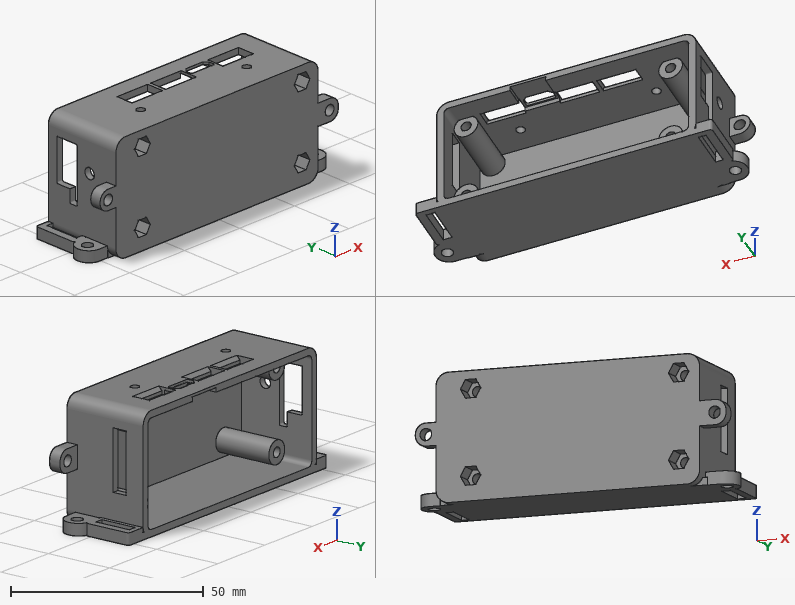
import cadquery as cq


left_x = -37.6
right_x = 36.0
depth = 25.0
height = 34.5
wall = 2.0
corner_radius = 3.55

board_y = 19.4
post_left_x = -27.9
post_low_z = 6.65
post_spacing_x = 58.0
post_spacing_z = 23.0
post_radius = 3.4
post_hole_radius = 1.4
nut_across_corners = 5.7
nut_depth = 5.0

screw_radius = 1.6
tab_thickness = 3.5
tab_z = 18.4
tab_end_x = 43.3
tab_corner_radius = 2.9
left_tab_width = 6.1
right_tab_width = 6.65
left_tab_hole_x = -40.4
right_tab_hole_x = 40.1

foot_height = 3.5
ear_end_x = 44.3
ear_y = 7.2
ear_width = 8.0
ear_length = 7.9
ear_corner_radius = 3.9
ear_hole_x = 40.85
loop_end_x = 42.1
loop_bar = 2.4
loop_front_y = 10.9
loop_corner_radius = 0.8
loop_slot_width = 2.5
loop_slot_front_y = 12.4
loop_slot_back_y = 23.3
plate_right_x = 36.95
plate_front_y = 3.0

port_centers_x = (-12.5, -0.3, 20.6)
port_width = 11.1
port_front_y = 15.0
port_bevel = 1.1
small_port_x = 10.1
small_port_width = 8.4
small_port_height = 3.2
small_port_bevel = 1.15
small_port_radius = 0.5
relief_front_y = 15.8
relief_width = 10.1
relief_skin = 0.8
light_holes_x = (-19.4, 19.1)
light_hole_y = 9.3
light_hole_radius = 1.2

slot_front_y = 14.35
slot_step_y = 16.9
slot_back_y = 21.8
slot_low_z = 11.1
slot_step_z = 15.2
slot_top_z = 28.6
slot_corner_radius = 0.4
right_window_front_y = 15.15
button_y = 9.75
button_z = 21.9
button_radius = 1.7


def box(x0, x1, y0, y1, z0, z1):
    """Axis-aligned box; each pair of limits may come in either order."""
    size = (abs(x1 - x0), abs(y1 - y0), abs(z1 - z0))
    corner = (min(x0, x1), min(y0, y1), min(z0, z1))
    return cq.Workplane("XY").box(*size, centered=False).translate(corner)


def rod_y(x, z, radius, length):
    """Cylinder along +Y starting at the closed face."""
    return cq.Workplane("XZ", origin=(x, 0, z)).circle(radius).extrude(-length)


def rod_z(x, y, radius, z0, z1):
    """Cylinder along Z from z0 to z1."""
    return cq.Workplane("XY", origin=(x, y, z0)).circle(radius).extrude(z1 - z0)


def side_wall_x(side):
    """Outer X of the left (-1) or right (1) end wall."""
    return left_x if side < 0 else right_x


def outer_face(side):
    """Selector of the face farthest from the case on one side."""
    return "<X" if side < 0 else ">X"


def make_block():
    block = box(left_x, right_x, 0, depth, 0, height)
    return block.edges("|Y").fillet(corner_radius)


def make_cavity():
    cavity = box(left_x + wall, right_x - wall, wall, depth, wall, height - wall)
    return cavity.edges("|Y").fillet(corner_radius - wall)


def make_tab(side, width, hole_x):
    """Round-ended screw tab growing out of the closed face."""
    half = width / 2
    tab = box(side_wall_x(side), side * tab_end_x, 0, tab_thickness, tab_z - half, tab_z + half)
    tab = tab.faces(outer_face(side)).edges("|Y").fillet(tab_corner_radius)
    return tab.cut(rod_y(hole_x, tab_z, screw_radius, tab_thickness))


def make_foot(side):
    """Screw ear with a strap loop behind it, outside one end wall."""
    half = ear_width / 2
    ear_root_x = side * (ear_end_x - ear_length)
    ear = box(ear_root_x, side * ear_end_x, ear_y - half, ear_y + half, 0, foot_height)
    ear = ear.faces(outer_face(side)).edges("|Z").fillet(ear_corner_radius)

    loop = box(side_wall_x(side), side * loop_end_x, loop_front_y, depth, 0, foot_height)
    loop = loop.faces(outer_face(side)).edges("|Z").fillet(loop_corner_radius)
    slot_end_x = loop_end_x - loop_bar
    slot = box(
        side * (slot_end_x - loop_slot_width), side * slot_end_x,
        loop_slot_front_y, loop_slot_back_y,
        0, foot_height,
    )
    hole = rod_z(side * ear_hole_x, ear_y, screw_radius, 0, foot_height)
    return ear.union(loop).cut(slot).cut(hole).cut(make_block())


def make_port(center_x):
    """Rectangular opening in the top wall with a sloped front lip."""
    profile = [
        (port_front_y, height - wall),
        (port_front_y, height - port_bevel),
        (port_front_y - port_bevel, height),
        (board_y, height),
        (board_y, height - wall),
    ]
    start_x = center_x - port_width / 2
    return cq.Workplane("YZ", origin=(start_x, 0, 0)).polyline(profile).close().extrude(port_width)


def make_small_port():
    """Connector opening with two bevelled and two rounded corners."""
    half = small_port_width / 2
    port = box(
        small_port_x - half, small_port_x + half,
        board_y - small_port_height, board_y,
        height - wall, height,
    )
    port = port.edges("|Z and >Y").chamfer(small_port_bevel)
    return port.edges("|Z and <Y").fillet(small_port_radius)


def make_small_port_relief():
    """Channel under the top wall that leaves a thin skin around the small port."""
    half = relief_width / 2
    return box(
        small_port_x - half, small_port_x + half,
        relief_front_y, depth,
        height - wall, height - relief_skin,
    )


def make_left_slot():
    """Stepped opening in the left wall: a wide window with a narrow tail below."""
    profile = [
        (slot_front_y, slot_low_z),
        (slot_front_y, slot_top_z),
        (slot_back_y, slot_top_z),
        (slot_back_y, slot_step_z),
        (slot_step_y, slot_step_z),
        (slot_step_y, slot_low_z),
    ]
    slot = cq.Workplane("YZ", origin=(left_x, 0, 0)).polyline(profile).close().extrude(wall)
    slot = slot.edges("|X and <Z").fillet(slot_corner_radius)
    slot = slot.faces("<Y").edges(">Z").fillet(slot_corner_radius)
    return slot.faces(">Y").edges("<Z").fillet(slot_corner_radius)


post_positions = [
    (post_left_x + column * post_spacing_x, post_low_z + row * post_spacing_z)
    for column in range(2)
    for row in range(2)
]

result = make_block().cut(make_cavity())
for x, z in post_positions:
    result = result.union(rod_y(x, z, post_radius, board_y))
result = result.union(make_tab(-1, left_tab_width, left_tab_hole_x))
result = result.union(make_tab(1, right_tab_width, right_tab_hole_x))
result = result.union(box(left_x, plate_right_x, plate_front_y, depth, 0, wall))
for side in (-1, 1):
    result = result.union(make_foot(side))

for x, z in post_positions:
    nut = cq.Workplane("XZ", origin=(x, 0, z)).polygon(6, nut_across_corners).extrude(-nut_depth)
    result = result.cut(nut).cut(rod_y(x, z, post_hole_radius, board_y))

for x in port_centers_x:
    result = result.cut(make_port(x))
result = result.cut(make_small_port()).cut(make_small_port_relief())
for x in light_holes_x:
    result = result.cut(rod_z(x, light_hole_y, light_hole_radius, height - wall, height))

button_hole = cq.Workplane("YZ", origin=(left_x, button_y, button_z)).circle(button_radius).extrude(wall)
right_window = box(right_x - wall, right_x, right_window_front_y, board_y, slot_low_z, slot_top_z)
result = result.cut(make_left_slot()).cut(button_hole).cut(right_window)